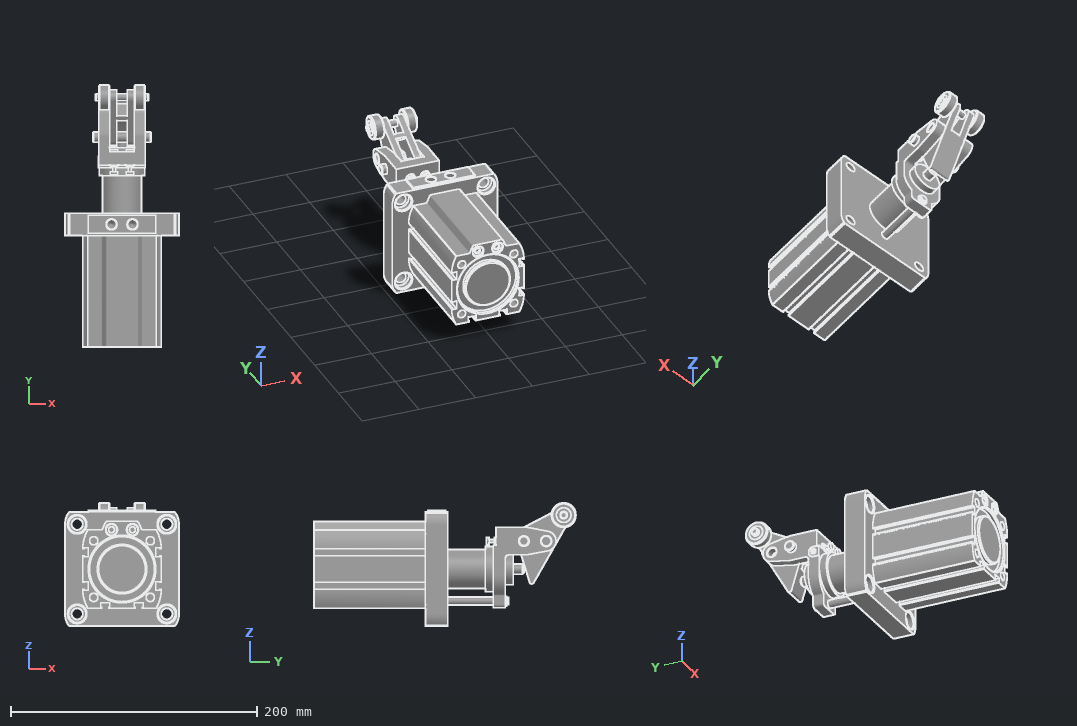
import cadquery as cq
import math


tube_half_width = 32.0
tube_length = 90.5
tube_corner_x = 28.0
tube_corner_z = 31.8
tube_flat_half_width = 27.7
tube_side_half_height = 16.2
rib_top = 38.8
rib_top_half_width = 13.0
rib_base_half_width = 16.2
rib_edge_radius = 1.7
rib_root_radius = 1.3
slot_offset = 13.6
slot_mouth_width = 5.5
slot_inner_width = 7.0
slot_lip = 1.0
slot_depth = 4.5
end_recess_diameter = 52.8
end_recess_depth = 4.3
end_recess_chamfer = 1.0
end_plug_diameter = 40.3
end_plug_chamfer = 1.0
tube_hole_offset = 23.0
tube_hole_diameter = 6.8
tube_hole_depth = 21.3
end_screw_x = 8.5
end_screw_z = 32.0
end_screw_diameter = 9.0
end_screw_recess = 1.0
end_screw_chamfer = 0.5
end_socket_diameter = 5.0
end_socket_depth = 3.2

flange_thickness = 18.3
flange_front = tube_length + flange_thickness
flange_half_width = 46.5
flange_side_half_height = 36.7
flange_corner_x = 43.7
flange_corner_z = 45.5
flange_flat_half_width = 42.6
mount_hole_offset = 36.5
mount_hole_diameter = 9.0
mount_bore_diameter = 14.0
mount_bore_depth = 6.0
mount_bore_chamfer = 0.9
pad_width = 54.5
pad_length = 14.7
pad_height = 1.3
port_offset = 8.5
port_diameter = 8.0
port_chamfer = 0.5
port_depth = 8.5
port_y = tube_length + flange_thickness / 2

rod_diameter = 32.0
collar_diameter = 37.0
collar_back = 139.4
plate_back = 145.8
plate_front = 155.5
plate_top = 19.4
plate_half_width = 19.0
plate_round_z = -5.1
lug_half_width = 10.7
lug_bottom = -31.5
lug_corner_radius = 2.8
lug_root_radius = 1.7
holder_back = 147.9
holder_top = 34.0
holder_bottom = 11.5
holder_mid_z = (holder_top + holder_bottom) / 2
holder_straight_end = 171.8
holder_bend_radius = 9.4
holder_root_radius = 2.8
ear_y = 188.8
ear_radius = 8.0
ear_hole_diameter = 8.0
ear_hole_chamfer = 0.5
lever_slot_back = 158.8
lever_half_width = 10.0
tab_y = 150.7
tab_z = 14.7
tab_radius = 4.5
tab_height = 0.5
tab_hole_diameter = 3.2
tab_hole_chamfer = 0.6
tab_hole_depth = 3.2
nose_diameter = 25.8
nose_front = 162.2
plunger_diameter = 8.5
plunger_tip = 171.0
plunger_chamfer = 1.5
guide_z = -26.0
guide_diameter = 6.8
guide_ring_diameter = 8.0
guide_ring_front = 156.8
guide_tip_diameter = 6.0
guide_front = 158.3
stud_x = 6.4
stud_bore_diameter = 8.0
stud_bore_depth = 4.3
stud_diameter = 2.5
stud_head_diameter = 6.0
stud_foot_back = 146.6
stud_head_front = 142.4
stud_head_back = 140.0
stud_nose_front = 160.3

axle_y = 203.0
axle_z = 44.0
axle_diameter = 6.0
axle_half_length = 21.7
axle_chamfer = 0.6
lever_nose_radius = 6.2
lever_tip_y = 177.0
lever_tip_z = -10.2
lever_tip_radius = 2.0
lever_heel_y = 169.8
lever_heel_z = 26.9
lever_heel_radius = 6.0
channel_width = 8.5
channel_front = 213.0
channel_back = 153.5
channel_top = 55.5
nose_floor_z = 19.8
floor_ridge_y = 185.8
floor_ridge_z = 25.0
floor_bend_y = 181.1
floor_bend_z = 19.5
floor_end_y = 168.3
floor_end_z = 9.2
bar_front = 188.0
bar_back = 184.0
bar_back_z = 40.5
bar_bottom_z = 36.2
roller_diameter = 20.0
roller_width = 8.7
roller_chamfer = 0.9
roller_hub_diameter = 12.0
roller_hub_height = 0.2
pin_y = 170.7
pivot_boss_diameter = 16.2
pin_diameter = 8.5
pin_half_length = 23.7
pin_chamfer = 0.6

edge_margin = 0.1


def rod_along_y(diameter, back, front, x=0.0, z=0.0):
    """Cylinder along Y between two Y positions."""
    plane = cq.Workplane("XZ", origin=(x, back, z))
    return plane.circle(diameter / 2).extrude(back - front)


def rod_along_x(diameter, half_length, y, z):
    """Cylinder along X, centred on X = 0."""
    plane = cq.Workplane("YZ", origin=(-half_length, y, z))
    return plane.circle(diameter / 2).extrude(2 * half_length)


def edge_zone(half_width, z, back, front):
    """Selector for the edges near one height within a span of X and Y."""
    return cq.selectors.BoxSelector(
        (-half_width - edge_margin, back, z - edge_margin),
        (half_width + edge_margin, front, z + edge_margin),
    )


def rounded_prism(corners, half_width):
    """Convex prism along X. Corners are (y, z, radius), listed counter-clockwise as seen from +X."""
    normals = []
    for i, (y, z, radius) in enumerate(corners):
        next_y, next_z, next_radius = corners[(i + 1) % len(corners)]
        length = math.hypot(next_y - y, next_z - z)
        along = ((next_y - y) / length, (next_z - z) / length)
        lean = (radius - next_radius) / length
        out = math.sqrt(1 - lean ** 2)
        normals.append((along[0] * lean + along[1] * out, along[1] * lean - along[0] * out))

    def on_corner(corner, normal):
        size = math.hypot(*normal)
        return (corner[0] + corner[2] * normal[0] / size, corner[1] + corner[2] * normal[1] / size)

    outline = cq.Workplane("YZ", origin=(-half_width, 0, 0)).moveTo(*on_corner(corners[0], normals[0]))
    for i in range(1, len(corners) + 1):
        corner = corners[i % len(corners)]
        arrive = normals[i - 1]
        leave = normals[i % len(corners)]
        outline = outline.lineTo(*on_corner(corner, arrive))
        if corner[2] > 0:
            middle = (arrive[0] + leave[0], arrive[1] + leave[1])
            outline = outline.threePointArc(on_corner(corner, middle), on_corner(corner, leave))
    return outline.close().extrude(2 * half_width)


def tangent_arc_middle(x, z_start, x_end, z_end):
    """Middle of an arc that leaves (x, z_start) along Z and bends inward to (x_end, z_end)."""
    inward = x - x_end
    rise = z_end - z_start
    radius = (inward ** 2 + rise ** 2) / (2 * inward)
    half_angle = math.asin(rise / radius) / 2
    return (x - radius * (1 - math.cos(half_angle)), z_start + radius * math.sin(half_angle))


def bulged_square(half_width, side_half_height, corner, flat_half_width, back, depth):
    """Square prism along Y whose corners are arcs that run on from its flat sides."""
    middle = tangent_arc_middle(half_width, side_half_height, *corner)
    right = cq.Workplane("XZ", origin=(0, back, 0)).moveTo(0, -half_width)
    right = right.lineTo(flat_half_width, -half_width).lineTo(corner[0], -corner[1])
    right = right.threePointArc((middle[0], -middle[1]), (half_width, -side_half_height))
    right = right.lineTo(half_width, side_half_height).threePointArc(middle, corner)
    right = right.lineTo(flat_half_width, half_width).lineTo(0, half_width).close().extrude(-depth)
    return right.union(right.mirror("YZ"))


def make_tube():
    tube = bulged_square(
        tube_half_width, tube_side_half_height, (tube_corner_x, tube_corner_z),
        tube_flat_half_width, 0, tube_length,
    )
    base_z = tube_half_width
    rib = cq.Workplane("XZ").polyline([
        (-rib_base_half_width, base_z),
        (rib_base_half_width, base_z),
        (rib_top_half_width, rib_top),
        (-rib_top_half_width, rib_top),
    ]).close().extrude(-tube_length)
    rib = rib.edges("|Y and >Z").fillet(rib_edge_radius)
    tube = tube.union(rib)
    root_zone = edge_zone(rib_base_half_width, base_z, 0, tube_length)
    return tube.edges("|Y").edges(root_zone).fillet(rib_root_radius)


def sensor_slot(offset, angle):
    """T-slot cutter for the bottom face, turned about the cylinder axis to reach a side."""
    bottom = -tube_half_width
    mouth = cq.Workplane("XY").box(
        slot_mouth_width, tube_length, slot_depth, centered=(True, False, False)
    )
    inner = cq.Workplane("XY").box(
        slot_inner_width, tube_length, slot_depth - slot_lip, centered=(True, False, False)
    ).translate((0, 0, slot_lip))
    slot = mouth.union(inner).translate((offset, 0, bottom))
    return slot.rotate((0, 0, 0), (0, 1, 0), angle)


def chamfered_recess(diameter, depth, chamfer):
    """Round recess cutter for the closed end, centred on the cylinder axis."""
    radius = diameter / 2
    profile = cq.Workplane("XY").polyline([
        (0, 0),
        (radius + chamfer, 0),
        (radius, chamfer),
        (radius, depth),
        (0, depth),
    ]).close()
    return profile.revolve(360, (0, 0), (0, 1))


def cut_end_face(tube):
    """Annular recess, screws and corner holes in the closed end."""
    recess = chamfered_recess(end_recess_diameter, end_recess_depth, end_recess_chamfer)
    plug = rod_along_y(end_plug_diameter, 0, end_recess_depth).faces("<Y").chamfer(end_plug_chamfer)
    tube = tube.cut(recess).union(plug)
    screw_recess = chamfered_recess(end_screw_diameter, end_screw_recess, end_screw_chamfer)
    for x in (-end_screw_x, end_screw_x):
        tube = tube.cut(screw_recess.translate((x, 0, end_screw_z)))
        tube = tube.cut(rod_along_y(end_socket_diameter, 0, end_socket_depth, x, end_screw_z))
    for x in (-tube_hole_offset, tube_hole_offset):
        for z in (-tube_hole_offset, tube_hole_offset):
            tube = tube.cut(rod_along_y(tube_hole_diameter, 0, tube_hole_depth, x, z))
    return tube


def make_flange():
    flange = bulged_square(
        flange_half_width, flange_side_half_height, (flange_corner_x, flange_corner_z),
        flange_flat_half_width, tube_length, flange_thickness,
    )
    pad = cq.Workplane("XY", origin=(0, port_y, flange_half_width)).rect(pad_width, pad_length)
    flange = flange.union(pad.extrude(pad_height))
    flange = (
        flange.faces("<Y").workplane(origin=(0, tube_length, 0))
        .rect(2 * mount_hole_offset, 2 * mount_hole_offset, forConstruction=True).vertices()
        .cboreHole(mount_hole_diameter, mount_bore_diameter, mount_bore_depth)
    )
    flange = flange.faces("<Y").edges("%CIRCLE").edges(
        cq.selectors.RadiusNthSelector(0)
    ).chamfer(mount_bore_chamfer)
    for x in (-port_offset, port_offset):
        flange = flange.cut(make_port(x))
    return flange


def make_port(x):
    """Blind port cutter with a chamfered mouth and a drill-point bottom."""
    top = flange_half_width + pad_height
    radius = port_diameter / 2
    profile = cq.Workplane("XZ").polyline([
        (0, 0),
        (radius + port_chamfer, 0),
        (radius, -port_chamfer),
        (radius, -port_depth),
        (0, -port_depth - radius),
    ]).close()
    return profile.revolve(360, (0, 0), (0, 1)).translate((x, port_y, top))


def make_housing():
    tube = make_tube()
    for offset in (-slot_offset, slot_offset):
        for angle in (0, 90, -90):
            tube = tube.cut(sensor_slot(offset, angle))
    housing = cut_end_face(tube).union(make_flange())
    housing = housing.cut(rod_along_y(rod_diameter, tube_length, flange_front))
    return housing.cut(rod_along_y(guide_diameter, tube_length, flange_front, z=guide_z))


def make_plate():
    """Plate with a round lower end and a lug for the guide rod."""
    depth = plate_front - plate_back
    plate = (
        cq.Workplane("XZ", origin=(0, plate_back, 0))
        .moveTo(-plate_half_width, plate_top)
        .lineTo(-plate_half_width, plate_round_z)
        .threePointArc((0, plate_round_z - plate_half_width), (plate_half_width, plate_round_z))
        .lineTo(plate_half_width, plate_top).close().extrude(-depth)
    )
    lug = cq.Workplane("XY").box(
        2 * lug_half_width, depth, -lug_bottom, centered=(True, False, False)
    ).translate((0, plate_back, lug_bottom))
    plate = plate.union(lug.edges("|Y and <Z").fillet(lug_corner_radius))
    root_z = plate_round_z - math.sqrt(plate_half_width ** 2 - lug_half_width ** 2)
    root_zone = edge_zone(lug_half_width, root_z, plate_back, plate_front)
    return plate.edges("|Y").edges(root_zone).fillet(lug_root_radius)


def make_fork():
    """Block whose two ears straddle the lever."""
    fork = rounded_prism([
        (holder_back, holder_bottom, 0),
        (holder_straight_end, holder_bottom + holder_bend_radius, holder_bend_radius),
        (ear_y, holder_mid_z, ear_radius),
        (holder_straight_end, holder_top - holder_bend_radius, holder_bend_radius),
        (holder_back, holder_top, 0),
    ], plate_half_width)
    fork = fork.cut(rod_along_x(ear_hole_diameter, plate_half_width, ear_y, holder_mid_z))
    hole_edges = fork.faces("<X or >X").edges("%CIRCLE").edges(cq.selectors.RadiusNthSelector(0))
    fork = hole_edges.chamfer(ear_hole_chamfer)
    arc_z = holder_bottom - holder_root_radius
    arc_y = plate_front + holder_root_radius
    reach = holder_root_radius * (1 - math.sqrt(0.5))
    root_fillet = (
        cq.Workplane("YZ").moveTo(plate_front, holder_bottom).lineTo(plate_front, arc_z)
        .threePointArc((plate_front + reach, holder_bottom - reach), (arc_y, holder_bottom))
        .close().extrude(plate_half_width, both=True)
    )
    slot = cq.Workplane("XY", origin=(0, lever_slot_back, 0)).box(
        2 * lever_half_width, ear_y, 2 * holder_top, centered=(True, False, True)
    )
    return fork.union(root_fillet).cut(slot)


def make_side_tab():
    """Round-ended tab on the -X side."""
    tab = cq.Workplane("YZ", origin=(-plate_half_width, 0, 0)).moveTo(tab_y, tab_z).circle(tab_radius)
    tab = tab.extrude(-tab_height)
    tail = cq.Workplane("XY").box(
        tab_height, tab_y - plate_back, 2 * tab_radius, centered=(False, False, True)
    ).translate((-plate_half_width - tab_height, plate_back, tab_z))
    return tab.union(tail)


def side_tab_hole():
    """Blind hole cutter with a chamfered mouth and a drill-point bottom."""
    radius = tab_hole_diameter / 2
    profile = cq.Workplane("XY").polyline([
        (0, 0),
        (0, radius + tab_hole_chamfer),
        (tab_hole_chamfer, radius),
        (tab_hole_depth, radius),
        (tab_hole_depth + radius, 0),
    ]).close()
    hole = profile.revolve(360, (0, 0), (1, 0))
    return hole.translate((-plate_half_width - tab_height, tab_y, tab_z))


def make_stud(x):
    """Headed stud in a bore of the holder's back face; its nose stands out into the lever slot."""
    stud = rod_along_y(stud_diameter, stud_head_back, stud_nose_front, x, holder_mid_z)
    stud = stud.union(rod_along_y(stud_head_diameter, stud_foot_back, stud_nose_front, x, holder_mid_z))
    return stud.union(rod_along_y(stud_head_diameter, stud_head_back, stud_head_front, x, holder_mid_z))


def make_guide_rod():
    guide = rod_along_y(guide_diameter, tube_length, plate_front, z=guide_z)
    guide = guide.union(rod_along_y(guide_ring_diameter, plate_front, guide_ring_front, z=guide_z))
    return guide.union(rod_along_y(guide_tip_diameter, plate_front, guide_front, z=guide_z))


def make_rod_holder():
    plunger = rod_along_y(plunger_diameter, plate_front, plunger_tip)
    plunger = plunger.faces(">Y").chamfer(plunger_chamfer)
    holder = make_plate().union(make_fork()).union(make_side_tab()).cut(side_tab_hole())
    for x in (-stud_x, stud_x):
        bore_end = holder_back + stud_bore_depth
        holder = holder.cut(rod_along_y(stud_bore_diameter, plate_back, bore_end, x, holder_mid_z))
        holder = holder.union(make_stud(x))
    holder = holder.union(rod_along_y(rod_diameter, tube_length, plate_back))
    holder = holder.union(rod_along_y(collar_diameter, collar_back, plate_back))
    holder = holder.union(rod_along_y(nose_diameter, plate_front, nose_front))
    holder = holder.union(plunger).union(make_guide_rod())
    return holder.cut(rod_along_x(pin_diameter, plate_half_width, pin_y, holder_mid_z))


def make_lever():
    lever = rounded_prism([
        (lever_tip_y, lever_tip_z, lever_tip_radius),
        (axle_y, axle_z, lever_nose_radius),
        (lever_heel_y, lever_heel_z, lever_heel_radius),
    ], lever_half_width)
    lever = lever.union(rod_along_x(pivot_boss_diameter, lever_half_width, pin_y, holder_mid_z))
    channel = cq.Workplane("YZ", origin=(-channel_width / 2, 0, 0)).polyline([
        (channel_front, channel_top),
        (channel_front, nose_floor_z),
        (floor_ridge_y, floor_ridge_z),
        (floor_bend_y, floor_bend_z),
        (floor_end_y, floor_end_z),
        (channel_back, floor_end_z),
        (channel_back, channel_top),
    ]).close().extrude(channel_width)
    bar = cq.Workplane("YZ", origin=(-channel_width / 2, 0, 0)).polyline([
        (bar_back, channel_top),
        (bar_back, bar_back_z),
        (bar_front, bar_bottom_z),
        (bar_front, channel_top),
    ]).close().extrude(channel_width)
    lever = lever.cut(channel.cut(bar))
    axle = rod_along_x(axle_diameter, axle_half_length, axle_y, axle_z)
    axle = axle.faces("<X or >X").chamfer(axle_chamfer)
    return lever.union(axle).cut(rod_along_x(pin_diameter, lever_half_width, pin_y, holder_mid_z))


def make_pivot_pin():
    pin = rod_along_x(pin_diameter, pin_half_length, pin_y, holder_mid_z)
    return pin.faces("<X or >X").chamfer(pin_chamfer)


def make_roller(side):
    """Roller beside the lever; side is -1 for -X and +1 for +X."""
    face = cq.Workplane("YZ", origin=(side * lever_half_width, axle_y, axle_z))
    roller = face.circle(roller_diameter / 2).extrude(side * roller_width)
    roller = roller.edges().chamfer(roller_chamfer)
    hub = face.circle(roller_hub_diameter / 2).extrude(side * (roller_width + roller_hub_height))
    roller = roller.union(hub)
    return roller.cut(rod_along_x(axle_diameter, axle_half_length, axle_y, axle_z))


housing = make_housing()
rod_holder = make_rod_holder()
lever = make_lever()
pivot_pin = make_pivot_pin()
rollers = [make_roller(side) for side in (-1, 1)]

result = cq.Compound.makeCompound([
    *housing.solids().vals(),
    *rod_holder.solids().vals(),
    *lever.solids().vals(),
    *pivot_pin.solids().vals(),
    *[roller.solids().val() for roller in rollers],
])